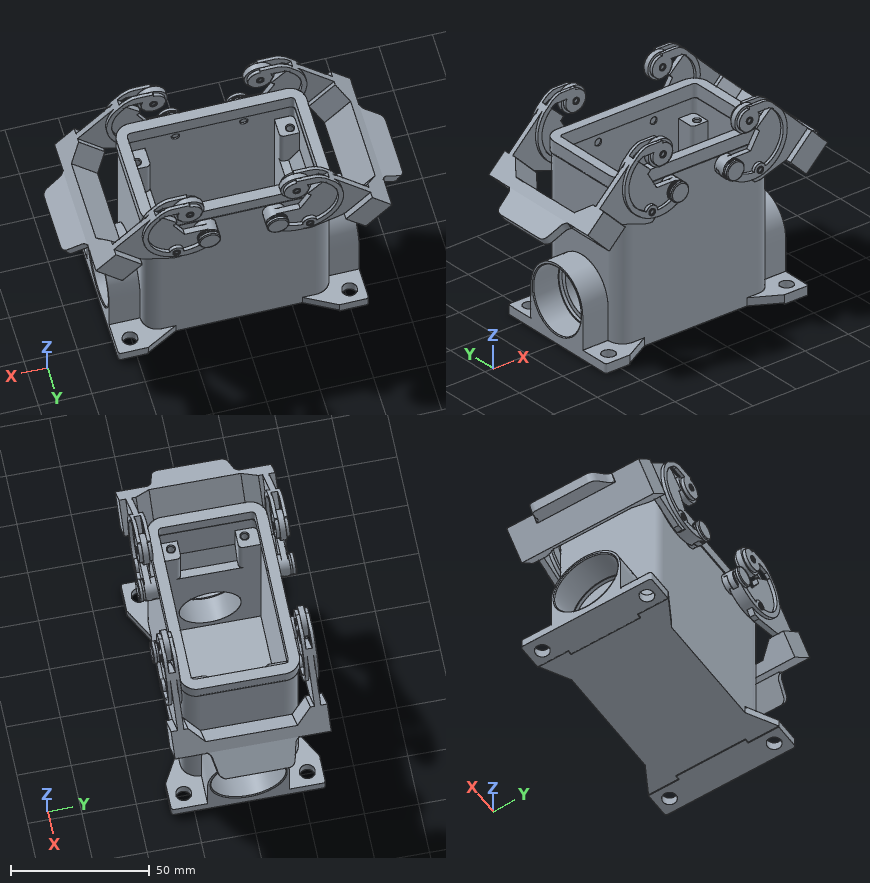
import cadquery as cq
import math

overlap = 1.3

total_length = 128.0
total_width = 58.0
total_height = 86.9

body_half_x = 35.2
body_half_y = 21.8
body_corner = 6.3
underside_z = 0.5
rim_bottom_z = 67.5
rim_top_z = 73.0
rim_overhang = 0.4

cavity_half_x = 31.4
cavity_half_y = 17.9
cavity_corner = 1.5
cavity_undercut_z = 67.1
undercut_half_x = 31.5
undercut_half_y = 18.7
undercut_corner = 1.9
cavity_floor_z = 4.0
end_wall_inner_x = 24.2
post_inner_y = 10.6
post_corner = 1.5
post_top_z = 60.3
ledge_z = 44.5
ramp_inner_x = 27.4
ramp_top_z = 49.7
screw_x = 28.7
screw_y = 13.6
screw_radius = 1.3
screw_countersink_radius = 1.7
screw_depth = 15.4

foot_end_x = 46.8
foot_bend_x = 35.7
foot_tip_x = 23.7
foot_half_y = 28.4
foot_top_z = 4.0
foot_corner = 1.0
foot_hole_x = 41.1
foot_hole_y = 22.8
foot_hole_radius = 2.8

entry_z = 17.8
entry_radius = 15.1
mouth_radius = 13.8
mouth_depth = 11.6
mouth_chamfer = 0.4
seat_radius = 13.3
seat_depth = 13.0
passage_radius = 11.4

peg_x = 12.8
peg_z = 63.4
peg_radius = 4.1
peg_end_y = total_width / 2
peg_edge = 0.4
peg_neck_radius = 3.7
peg_neck_inner_y = 26.7
peg_neck_outer_y = 27.5
peg_recess_radius = 1.5
peg_recess_depth = 0.6

blade_y = 25.2
blade_thickness = 2.3
flange_thickness = 5.0
pin_length = 5.6
pin_radius = 1.4
pin_bore_radius = 1.0
pin_bore_depth = 0.5
hook_x = -20.0
hook_radius = 5.6
hook_z = total_height - hook_radius
hook_flange_radius = 4.6
arch_thickness = 3.6
arch_tangent = 3.0
ring_x = -21.6
ring_z = 72.0
ring_radius = 15.9
pocket_x = -22.5
pocket_radius = 13.0
pocket_top_z = 82.3
jaw_root_x = -31.2
jaw_root_z = 82.2
jaw_tip_x = -24.5
jaw_tip_z = 75.9
jaw_notch_x = -25.7
jaw_notch_z = 74.4
jaw_heel_x = -21.6
arch_inner_end_x = -29.2
keel_start_x = -26.0
keel_end_x = -23.5
keel_z = 54.0
lower_pin_x = -25.0
lower_pin_z = 59.1
lower_pin_boss_radius = 2.7

bar_x = -55.4
bar_z = 60.4
bar_depth = 10.5
bar_width = 14.0
bar_half_y = 28.8
bar_wall = 4.5
bar_notch_half_y = 16.9
bar_notch_mouth_half_y = 22.5

tab_slope = math.radians(34)
tab_length = (total_length / 2 + bar_x) / math.cos(tab_slope)
tab_thickness = 3.6
tab_root_half_y = 17.0
tab_flare_mid = 0.9
tab_flare_mid_half_y = 15.9
tab_flare_end = 2.5
tab_flare_half_y = 15.2
tab_corner_start = 8.0
tab_corner_half_y = 14.1
tab_tip_half_y = 11.4


def box(x0, x1, y0, y1, z0, z1):
    return cq.Workplane("XY").box(x1 - x0, y1 - y0, z1 - z0, centered=False).translate((x0, y0, z0))


def rounded_block(half_x, half_y, corner, z0, z1):
    return box(-half_x, half_x, -half_y, half_y, z0, z1).edges("|Z").fillet(corner)


def x_rod(x0, x1, z, radius):
    return cq.Workplane("YZ", origin=(x0, 0, z)).circle(radius).extrude(x1 - x0)


def y_rod(x, z, radius, y0, y1):
    return cq.Workplane("XZ", origin=(x, y0, z)).circle(radius).extrude(y0 - y1)


def lever_rod(x, z, radius, thickness):
    return y_rod(x, z, radius, blade_y - thickness / 2, blade_y + thickness / 2)


def both_sides(shape, plane):
    return shape.union(shape.mirror(plane))


def make_chamber():
    """Main part of the cavity, slightly wider than its mouth."""
    return rounded_block(
        undercut_half_x, undercut_half_y, undercut_corner, cavity_floor_z, cavity_undercut_z
    )


def make_shell():
    body = rounded_block(body_half_x, body_half_y, body_corner, underside_z, rim_bottom_z)
    rim = rounded_block(
        body_half_x + rim_overhang, body_half_y + rim_overhang, body_corner, rim_bottom_z, rim_top_z
    )
    mouth = rounded_block(cavity_half_x, cavity_half_y, cavity_corner, cavity_undercut_z, rim_top_z)
    return body.union(rim).cut(mouth).cut(make_chamber())


def make_end_wall():
    """Thick wall inside the -X end: a ledge with a ramp, and a screw post at each side."""
    wall = (
        cq.Workplane("XZ", origin=(0, undercut_half_y, 0))
        .moveTo(-body_half_x + overlap, cavity_floor_z - overlap)
        .lineTo(-body_half_x + overlap, ramp_top_z)
        .lineTo(-undercut_half_x, ramp_top_z)
        .lineTo(-ramp_inner_x, ledge_z)
        .lineTo(-end_wall_inner_x, ledge_z)
        .lineTo(-end_wall_inner_x, cavity_floor_z - overlap)
        .close()
        .extrude(2 * undercut_half_y)
    )
    post = box(
        -undercut_half_x - overlap, -end_wall_inner_x,
        post_inner_y, undercut_half_y + overlap,
        ledge_z - overlap, post_top_z,
    )
    post = post.edges("|Z and >X and <Y").fillet(post_corner)
    screw_top = cq.Workplane("XY", origin=(-screw_x, screw_y, post_top_z))
    screw_bore = screw_top.circle(screw_radius).extrude(-screw_depth)
    countersink = (
        screw_top.circle(screw_countersink_radius)
        .workplane(offset=screw_radius - screw_countersink_radius)
        .circle(screw_radius)
        .loft()
    )
    return wall.union(both_sides(post.cut(screw_bore).cut(countersink), "XZ"))


def make_foot():
    """Mounting flange under the -X end, tapering back to the body sides."""
    pad = box(-foot_end_x, -foot_bend_x, -foot_half_y, foot_half_y, 0, foot_top_z)
    pad = pad.edges("|Z and <X").fillet(foot_corner)
    taper = (
        cq.Workplane("XY", origin=(0, 0, underside_z))
        .polyline([
            (-foot_bend_x, -foot_half_y),
            (-foot_tip_x, -body_half_y),
            (-foot_tip_x, body_half_y),
            (-foot_bend_x, foot_half_y),
        ])
        .close()
        .extrude(foot_top_z - underside_z)
    )
    holes = (
        cq.Workplane("XY")
        .pushPoints([(-foot_hole_x, -foot_hole_y), (-foot_hole_x, foot_hole_y)])
        .circle(foot_hole_radius)
        .extrude(foot_top_z)
    )
    return pad.union(taper).cut(holes).cut(make_chamber())


def make_entry_boss():
    barrel = x_rod(-foot_end_x, -end_wall_inner_x - overlap, entry_z, entry_radius)
    pedestal = box(-foot_end_x, -body_half_x + overlap, -entry_radius, entry_radius, 0, entry_z)
    return barrel.union(pedestal)


def make_entry_bore():
    """Stepped socket of the -X cable entry with a bevelled mouth."""
    mouth = x_rod(-foot_end_x, -foot_end_x + mouth_depth, entry_z, mouth_radius)
    seat = x_rod(-foot_end_x, -foot_end_x + seat_depth, entry_z, seat_radius)
    bevel = (
        cq.Workplane("YZ", origin=(-foot_end_x, 0, entry_z))
        .circle(mouth_radius + mouth_chamfer)
        .workplane(offset=mouth_chamfer)
        .circle(mouth_radius)
        .loft()
    )
    return mouth.union(seat).union(bevel)


def make_peg():
    """Grooved pivot peg of the -X lever on the +Y wall, reaching through to the cavity."""
    peg = y_rod(-peg_x, peg_z, peg_radius, undercut_half_y + overlap, peg_end_y)
    peg = peg.faces(">Y").edges().chamfer(peg_edge)
    groove = y_rod(-peg_x, peg_z, peg_radius, peg_neck_inner_y, peg_neck_outer_y).cut(
        y_rod(-peg_x, peg_z, peg_neck_radius, peg_neck_inner_y, peg_neck_outer_y)
    )
    return peg.cut(groove)


def make_peg_recess():
    return y_rod(-peg_x, peg_z, peg_recess_radius, undercut_half_y, undercut_half_y + peg_recess_depth)


def blade_profile(thickness):
    """Lever side plate: a hooked arch above, a jaw facing the rim and a tail around the peg."""
    half_root_2 = math.sqrt(0.5)
    bar_top_x = bar_x + bar_depth * half_root_2
    bar_top_z = bar_z + bar_depth * half_root_2
    bar_low_x = bar_top_x + bar_width * half_root_2
    bar_low_z = bar_top_z - bar_width * half_root_2
    arch_corner_x = bar_x + total_height - bar_z
    arch_step = arch_tangent * half_root_2
    arch_inner_z = total_height - arch_thickness
    tail_z = ring_z - math.sqrt(ring_radius**2 - (-peg_x - ring_x) ** 2)
    tail_mid_angle = math.asin((-peg_x - ring_x) / ring_radius) / 2
    return (
        cq.Workplane("XZ", origin=(0, blade_y + thickness / 2, 0))
        .moveTo(bar_top_x, bar_top_z)
        .lineTo(arch_corner_x - arch_step, total_height - arch_step)
        .tangentArcPoint((arch_corner_x + arch_tangent, total_height), relative=False)
        .lineTo(hook_x, total_height)
        .lineTo(hook_x, arch_inner_z)
        .lineTo(arch_inner_end_x, arch_inner_z)
        .lineTo(jaw_root_x, jaw_root_z)
        .lineTo(jaw_tip_x, jaw_tip_z)
        .lineTo(jaw_notch_x, jaw_notch_z)
        .lineTo(jaw_heel_x, peg_z + peg_radius)
        .lineTo(-peg_x, peg_z + peg_radius)
        .threePointArc((-peg_x + peg_radius, peg_z), (-peg_x, tail_z))
        .threePointArc(
            (ring_x + ring_radius * math.sin(tail_mid_angle),
             ring_z - ring_radius * math.cos(tail_mid_angle)),
            (ring_x, ring_z - ring_radius),
        )
        .lineTo(keel_end_x, keel_z)
        .lineTo(keel_start_x, keel_z)
        .lineTo(bar_low_x, bar_low_z)
        .close()
        .extrude(thickness)
    )


def make_arch_gap():
    """Space above the jaw edge, where the arch is two thin plates without the web between them."""
    return (
        cq.Workplane("XZ", origin=(0, blade_y + blade_thickness / 2, 0))
        .moveTo(jaw_root_x, jaw_root_z)
        .lineTo(2 * jaw_root_x - jaw_tip_x, 2 * jaw_root_z - jaw_tip_z)
        .lineTo(0, 2 * jaw_root_z - jaw_tip_z)
        .lineTo(0, jaw_root_z)
        .close()
        .extrude(blade_thickness)
    )


def make_blade():
    """Side plate of the -X lever at +Y: web, raised ring, hook with roller and two pins."""
    web = blade_profile(blade_thickness)
    roller = lever_rod(hook_x, hook_z, hook_radius, blade_thickness)
    ring = blade_profile(flange_thickness).intersect(
        lever_rod(ring_x, ring_z, ring_radius, flange_thickness)
    )
    pocket = (
        lever_rod(pocket_x, ring_z, pocket_radius, flange_thickness)
        .intersect(box(bar_x, 0, 0, bar_half_y, 0, pocket_top_z))
        .cut(lever_rod(lower_pin_x, lower_pin_z, lower_pin_boss_radius, flange_thickness))
    )
    hook = lever_rod(hook_x, hook_z, hook_flange_radius, flange_thickness)
    blade = ring.cut(pocket).union(hook).union(web).cut(make_arch_gap()).union(roller)
    for x, z in [(hook_x, hook_z), (lower_pin_x, lower_pin_z)]:
        blade = blade.union(lever_rod(x, z, pin_radius, pin_length))
        pin_bores = lever_rod(x, z, pin_bore_radius, pin_length).cut(
            lever_rod(x, z, pin_bore_radius, pin_length - 2 * pin_bore_depth)
        )
        blade = blade.cut(pin_bores)
    return blade


def make_bar():
    """Cross bar of the -X lever, notched in the middle where it clears the hood end."""
    bar_plane = cq.Plane(origin=(bar_x, 0, bar_z), xDir=(1, 0, 1), normal=(-1, 0, 1))
    return (
        cq.Workplane(bar_plane)
        .polyline([
            (0, -bar_half_y),
            (bar_depth, -bar_half_y),
            (bar_depth, -bar_notch_mouth_half_y),
            (bar_wall, -bar_notch_half_y),
            (bar_wall, bar_notch_half_y),
            (bar_depth, bar_notch_mouth_half_y),
            (bar_depth, bar_half_y),
            (0, bar_half_y),
        ])
        .close()
        .extrude(-bar_width)
    )


def make_tab():
    """Finger tab with flared root and rounded tip corners."""
    along = (-math.cos(tab_slope), 0, -math.sin(tab_slope))
    upward = (-math.sin(tab_slope), 0, math.cos(tab_slope))
    plane = cq.Plane(origin=(bar_x, 0, bar_z), xDir=along, normal=upward)
    half = (
        cq.Workplane(plane)
        .moveTo(-overlap, 0)
        .lineTo(-overlap, tab_root_half_y)
        .lineTo(0, tab_root_half_y)
        .threePointArc((tab_flare_mid, tab_flare_mid_half_y), (tab_flare_end, tab_flare_half_y))
        .lineTo(tab_corner_start, tab_corner_half_y)
        .tangentArcPoint((tab_length, tab_tip_half_y), relative=False)
        .lineTo(tab_length, 0)
        .close()
        .extrude(-tab_thickness)
    )
    return both_sides(half, "XZ")


shell = make_shell().union(both_sides(make_end_wall(), "YZ"))
shell = shell.union(both_sides(make_foot(), "YZ")).union(both_sides(make_entry_boss(), "YZ"))
shell = shell.cut(both_sides(make_entry_bore(), "YZ"))
shell = shell.cut(x_rod(-foot_end_x, 0, entry_z, passage_radius))

side = make_blade().union(make_peg())
lever = make_bar().union(make_tab()).union(both_sides(side, "XZ"))
result = shell.union(both_sides(lever, "YZ"))
result = result.cut(both_sides(both_sides(make_peg_recess(), "XZ"), "YZ"))